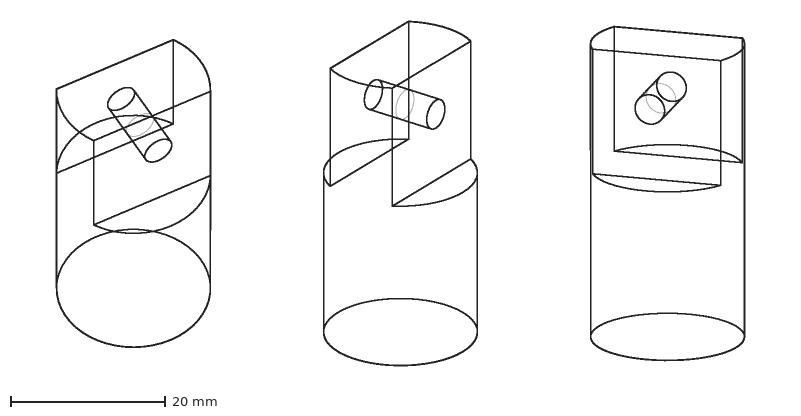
import cadquery as cq

body_diameter = 20.0
total_height = 40.0
tang_height = 17.0
tang_thickness = body_diameter / 2
hole_diameter = 4.0
hole_offset_y = 0.9
hole_below_top = 7.5

shoulder_height = total_height - tang_height


def make_body():
    """Round shank standing on the XY plane."""
    return cq.Workplane("XY").circle(body_diameter / 2).extrude(shoulder_height)


def make_tang():
    """Flat tang: the shank's circle trimmed by two flats facing -X and +X."""
    cylinder = (
        cq.Workplane("XY", origin=(0, 0, shoulder_height))
        .circle(body_diameter / 2)
        .extrude(tang_height)
    )
    slab = cq.Workplane("XY").box(
        tang_thickness, body_diameter * 2, total_height, centered=(True, True, False)
    )
    return cylinder.intersect(slab)


def make_cross_hole():
    """Pin hole along X through the tang, set off the axis toward +Y."""
    return (
        cq.Workplane("YZ")
        .center(hole_offset_y, total_height - hole_below_top)
        .circle(hole_diameter / 2)
        .extrude(body_diameter / 2, both=True)
    )


result = make_body().union(make_tang()).cut(make_cross_hole())